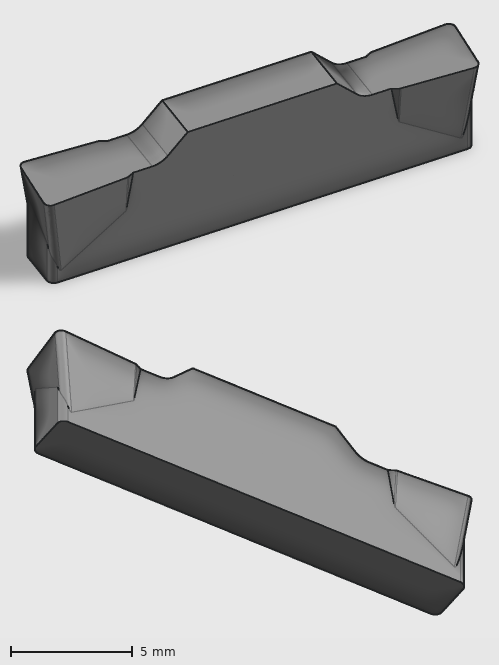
import cadquery as cq
import math


body_width = 2.3
body_length = 19.57
body_corner_radius = 0.32
total_height = 5.75
head_height = 4.54
plateau_half_length = 3.45
ramp_angle = 45
ramp_foot_radius = 1.01

overall_length = 20.25
cutting_edge_angle = 5
flank_angle = 3.4
end_relief_angle = 7
flank_relief_angle = 5
head_corner_radius = 0.3
knee_y = 6.28
knee_overhang = 0.165
knee_run = 0.32
knee_radius = 0.16
root_inset = 0.3


def tan_deg(angle):
    return math.tan(math.radians(angle))


def find_cutting_edge_y():
    """Y where the cutting edge crosses the centre plane, so that the insert has its overall length."""
    round_center_y = overall_length / 2 - head_corner_radius
    flank_x = body_width / 2 + knee_overhang + tan_deg(flank_angle) * (round_center_y - knee_y)
    round_center_x = -(flank_x - head_corner_radius / math.cos(math.radians(flank_angle)))
    edge_offset = head_corner_radius / math.cos(math.radians(cutting_edge_angle))
    return round_center_y + edge_offset + tan_deg(cutting_edge_angle) * round_center_x


def make_body():
    block = (
        cq.Workplane("XY")
        .box(body_width, body_length, total_height, centered=(True, True, False))
        .edges("|Z")
        .fillet(body_corner_radius)
    )
    half_length = body_length / 2
    ramp_foot_y = plateau_half_length + (total_height - head_height) / tan_deg(ramp_angle)
    profile = (
        cq.Workplane("YZ")
        .polyline([
            (-half_length, 0),
            (half_length, 0),
            (half_length, head_height),
            (ramp_foot_y, head_height),
            (plateau_half_length, total_height),
            (-plateau_half_length, total_height),
            (-ramp_foot_y, head_height),
            (-half_length, head_height),
        ])
        .close()
        .extrude(body_width / 2, both=True)
    )
    for side in (-1, 1):
        foot = cq.selectors.NearestToPointSelector((0, side * ramp_foot_y, head_height))
        profile = profile.edges(foot).fillet(ramp_foot_radius)
    return block.intersect(profile)


def head_outline(depth):
    """Sharp-cornered plan outline of the +Y head at a depth below its top."""
    knee_x = body_width / 2 + knee_overhang - depth * tan_deg(flank_relief_angle)
    end_inset = depth * tan_deg(end_relief_angle) / math.cos(math.radians(cutting_edge_angle))
    end_y = find_cutting_edge_y() - end_inset
    flank_slope = tan_deg(flank_angle)
    edge_slope = tan_deg(cutting_edge_angle)

    def corner(side):
        reach = knee_x + flank_slope * (end_y - knee_y)
        x = side * reach / (1 + side * flank_slope * edge_slope)
        return x, end_y - edge_slope * x

    root_x = knee_x - root_inset
    root_y = knee_y - root_inset * knee_run / knee_overhang
    return [
        (-root_x, root_y),
        (root_x, root_y),
        (knee_x, knee_y),
        corner(1),
        corner(-1),
        (-knee_x, knee_y),
    ]


def make_head():
    head = (
        cq.Workplane("XY")
        .polyline(head_outline(head_height))
        .close()
        .workplane(offset=head_height)
        .polyline(head_outline(0))
        .close()
        .loft(ruled=True)
    )
    middle_outline = head_outline(head_height / 2)
    knee_points = (middle_outline[2], middle_outline[5])
    end_points = (middle_outline[3], middle_outline[4])
    for points, radius in ((knee_points, knee_radius), (end_points, head_corner_radius)):
        for x, y in points:
            edge = cq.selectors.NearestToPointSelector((x, y, head_height / 2))
            head = head.edges(edge).fillet(radius)
    return head


head = make_head()
opposite_head = head.rotate((0, 0, 0), (0, 0, 1), 180)
result = make_body().union(head).union(opposite_head)